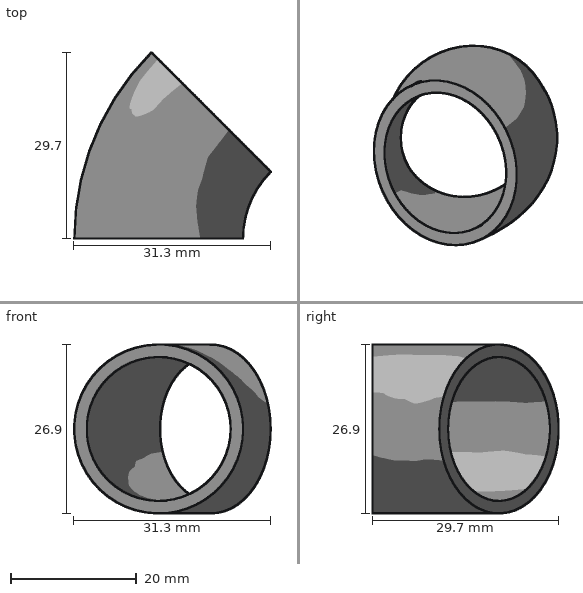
import cadquery as cq
import math

overall_width = 31.3
bend_radius = 28.5
bend_angle = 45.0
wall_thickness = 2.0

bend_cosine = math.cos(math.radians(bend_angle))
outer_radius = (overall_width - bend_radius * (1 - bend_cosine)) / (1 + bend_cosine)
inner_radius = outer_radius - wall_thickness


def pipe_elbow():
    """Sweep the pipe ring from the -Y end face around a vertical axis on the +X side."""
    ring = cq.Workplane("XZ").circle(outer_radius).circle(inner_radius)
    return ring.revolve(bend_angle, (bend_radius, 0), (bend_radius, -1))


result = pipe_elbow()